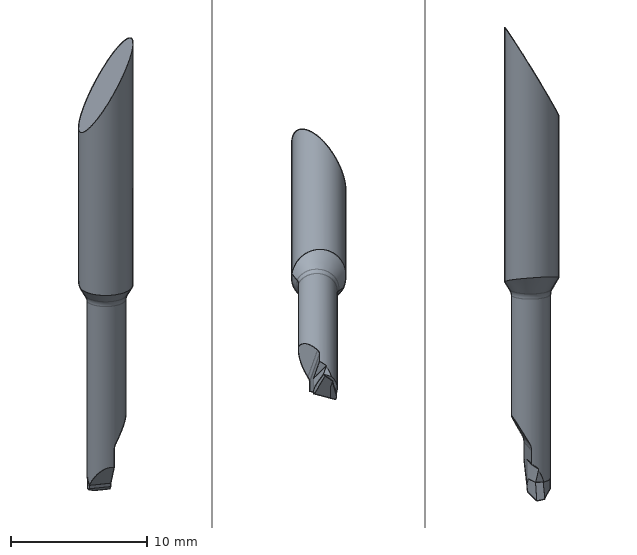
import cadquery as cq
import math

overall_length = 35.7
shank_radius = 2.0
taper_angle = math.radians(30)
taper_slope = math.tan(taper_angle)
top_cut_drop = 2 * shank_radius / taper_slope

neck_radius = 1.5
neck_shift = 0.45
blend_radius = 0.85
blend_bottom = 15.25

relief_y = 0.25
relief_slope_bottom = 4.05
relief_blend_radius = 1.07

seat_z = 1.25
seat_left_x = -0.85
seat_right_x = 0.268
corner_x = 0.55
corner_z = 0.75
left_bevel_x = neck_shift - neck_radius
left_bevel_top = 2.32

point_x = -1.45
point_y = -0.05
heel_x = 0.35
heel_z = 0.2
side_x = 0.5
side_z = 0.45
flank_x = -1.2
flank_y = -0.7
back_x = 0.3
back_y = -1.45
back_corner_x = 0.57
back_corner_y = -1.35
rake_top_y = -0.5
rake_top_z = 2.68
rake_end_y = -0.45
rake_end_z = 2.18
bottom_relief_z = 0.1
back_relief_z = 0.4

margin = 3.57


def extrude_y(points):
    """Prism of an XZ outline, reaching past the part on both Y sides."""
    return cq.Workplane("XZ").polyline(points).close().extrude(margin, both=True)


def extrude_x(points):
    """Prism of a YZ outline, reaching past the part on both X sides."""
    return cq.Workplane("YZ").polyline(points).close().extrude(margin, both=True)


def make_flare(center_x):
    """Round neck that blends into a widening cone above."""
    cone_radius = neck_radius + blend_radius * (1 - math.cos(taper_angle))
    cone_bottom = blend_bottom + blend_radius * math.sin(taper_angle)
    middle = taper_angle / 2
    blend_middle = (
        neck_radius + blend_radius * (1 - math.cos(middle)),
        blend_bottom + blend_radius * math.sin(middle),
    )
    top_radius = cone_radius + (overall_length - cone_bottom) * taper_slope
    profile = (
        cq.Workplane("XZ")
        .lineTo(neck_radius, 0)
        .lineTo(neck_radius, blend_bottom)
        .threePointArc(blend_middle, (cone_radius, cone_bottom))
        .lineTo(top_radius, overall_length)
        .lineTo(0, overall_length)
        .close()
    )
    return profile.revolve(360, (0, 0, 0), (0, 1, 0)).translate((center_x, 0, 0))


def make_top_cut():
    """Wedge above the slanted top end, which is highest on the +Y side."""
    return extrude_x([
        (-shank_radius, overall_length - top_cut_drop),
        (shank_radius, overall_length),
        (-shank_radius, overall_length),
    ])


def make_neck_relief():
    """Flat on the +Y side that runs out upwards in a slope."""
    slope_top = relief_slope_bottom + (margin - relief_y) / taper_slope
    cutter = extrude_x([
        (relief_y, -margin),
        (relief_y, relief_slope_bottom),
        (margin, slope_top),
        (margin, -margin),
    ])
    crease = cq.selectors.NearestToPointSelector((0, relief_y, relief_slope_bottom))
    return cutter.edges(crease).fillet(relief_blend_radius)


def make_end_cut():
    """Space below the neck: left bevel, tip seat and right bevel."""
    right_bevel_z = corner_z + (margin - corner_x) / taper_slope
    bevel_run = seat_left_x - left_bevel_x
    bevel_slope = (left_bevel_top - seat_z) / bevel_run
    outer_x = left_bevel_x - bevel_run
    return extrude_y([
        (outer_x, left_bevel_top + bevel_run * bevel_slope),
        (seat_left_x, seat_z),
        (seat_right_x, seat_z),
        (corner_x, corner_z),
        (margin, right_bevel_z),
        (margin, -margin),
        (outer_x, -margin),
    ])


def make_rake_cut():
    """Space on the +Y side of a twisted rake face, closed by a sloping upper end."""
    groove = (
        cq.Workplane("XY")
        .polyline([(point_x, point_y), (side_x, relief_y), (side_x, margin), (point_x, margin)])
        .close()
        .workplane(offset=rake_top_z)
        .polyline([(point_x, rake_top_y), (side_x, relief_y), (side_x, margin), (point_x, margin)])
        .close()
        .loft(ruled=True)
    )
    end_slope = (rake_top_z - rake_end_z) / (relief_y - rake_end_y)
    above_end = extrude_x([
        (-margin, rake_end_z - (margin + rake_end_y) * end_slope),
        (relief_y, rake_top_z),
        (-margin, rake_top_z),
    ])
    return groove.cut(above_end)


def make_bar():
    bar = cq.Workplane("XY").circle(shank_radius).extrude(overall_length)
    bar = bar.intersect(make_flare(0)).intersect(make_flare(neck_shift))
    for cutter in (make_top_cut(), make_neck_relief(), make_end_cut(), make_rake_cut()):
        bar = bar.cut(cutter)
    return bar


def tip_plan(left_shift):
    """Plan of the tip, with its two left corners moved towards +X."""
    return [
        (point_x + left_shift, point_y),
        (flank_x + left_shift, flank_y),
        (back_x, back_y),
        (back_corner_x, back_corner_y),
        (back_corner_x, relief_y),
        (side_x, relief_y),
    ]


def make_tip():
    """Pointed tip below the seat, with its flanks leaning along the left edge."""
    front_outline = extrude_y([
        (point_x, 0),
        (seat_left_x, seat_z),
        (seat_right_x, seat_z),
        (corner_x, corner_z),
        (side_x, side_z),
        (heel_x, heel_z),
    ])
    lean = seat_left_x - point_x
    flanks = (
        cq.Workplane("XY")
        .polyline(tip_plan(0))
        .close()
        .workplane(offset=seat_z)
        .polyline(tip_plan(lean))
        .close()
        .loft(ruled=True)
    )
    bottom_relief = extrude_x([
        (flank_y, bottom_relief_z),
        (back_y, back_relief_z),
        (back_y, -margin),
        (flank_y, -margin),
    ])
    return front_outline.intersect(flanks).cut(bottom_relief).cut(make_rake_cut())


bar = make_bar()
tip = make_tip()

result = cq.Compound.makeCompound([bar.val(), tip.val()])